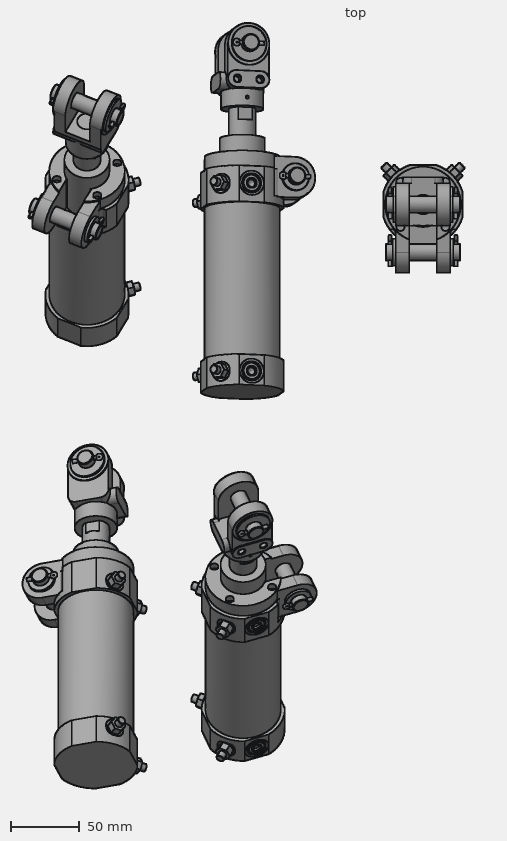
import cadquery as cq

tube_dia = 55.0
cap_dia = 60.6
cap_across_flats = 57.7
base_cap_height = 22.6
head_bottom = 135.5
head_height = 26.7
head_top = head_bottom + head_height
head_step_top = head_top + 11.3
gland_dia = 33.0
gland_top = 187.3

tie_hole_dia = 6.0
tie_hole_depth = 5.5
tie_hole_radius = 23.2

head_slot_back_y = -13.5
head_slot_floor = 139.5

clevis_half_gap = 10.0
clevis_half_width = 20.0
clevis_eye_radius = 15.0
clevis_pin_y = -34.8
clevis_pin_z = 156.8
clevis_boss_dia = 20.0
clevis_boss_face = 22.0
clevis_root_y = head_slot_back_y
clevis_bottom = clevis_pin_z - clevis_eye_radius
relief_y = -18.0
relief_fillet = 2.7

port_recess_dia = 18.0
port_recess_depth = 0.3
plug_seat_dia = 14.3
plug_dia = 12.0
plug_groove_depth = 0.8
plug_mouth_dia = 7.5
plug_mouth_depth = 0.5
plug_socket_dia = 6.0
plug_socket_depth = 2.7
plug_cone_depth = 1.5

screw_seat_dia = 14.3
screw_seat_radius = 29.25
screw_hex_flats = 10.0
screw_hex_corners = screw_hex_flats * 2 / 3**0.5
screw_hex_end = 35.3
screw_stem_dia = 6.0
screw_tip_radius = 40.5
screw_tip_chamfer = 0.3

rod_dia = 20.0
rod_flats = 17.0
rod_flats_bottom = 200.0
rod_thread_dia = 14.3

fork_barrel_dia = 31.0
fork_barrel_bottom = 209.0
fork_floor = 234.2
fork_half_gap = 10.0
fork_half_width = 19.0
fork_eye_radius = 15.5
fork_eye_face = 20.0
fork_boss_dia = 26.0
fork_boss_face = 21.5
fork_pin_z = 269.5 - fork_eye_radius
fork_web_height = 12.5
fork_web_length = fork_barrel_dia
fork_block_bottom = 229.3
fork_web_z = fork_floor - fork_web_height / 2
fork_rear_pad_y = 20.0
fork_rear_pad_length = 29.5
fork_hole_spacing = 17.0
fork_hole_dia = 4.9
fork_hole_mouth_dia = 6.0
fork_hole_depth = 5.5
set_screw_dia = 2.3
set_screw_z = 215.3

pin_dia = 12.0
pin_half_length = 27.2
pin_chamfer = 0.5
cotter_x = 24.0
cotter_shank_dia = 3.0
cotter_wire_dia = 2.3
cotter_ring_radius = 1.5
cotter_ring_y = 10.0
cotter_tail_y = -10.2


def disc(diameter, bottom, top):
    """Vertical cylinder on the main axis."""
    return cq.Workplane("XY", origin=(0, 0, bottom)).circle(diameter / 2).extrude(top - bottom)


def rod_along_x(diameter, half_length, y, z):
    """Cylinder along X, centred on X = 0."""
    return cq.Workplane("YZ", origin=(0, y, z)).circle(diameter / 2).extrude(half_length, both=True)


def block(x_range, y_range, z_range):
    """Box between the given limits."""
    corner = (x_range[0], y_range[0], z_range[0])
    size = (x_range[1] - x_range[0], y_range[1] - y_range[0], z_range[1] - z_range[0])
    return cq.Workplane("XY").box(*size, centered=False).translate(corner)


def end_cap(bottom, height):
    """Round cap with four flats."""
    square = cq.Workplane("XY", origin=(0, 0, bottom)).rect(cap_across_flats, cap_across_flats).extrude(height)
    return disc(cap_dia, bottom, bottom + height).intersect(square)


def cut_plugged_port(body, z):
    """Port on the -X flat, closed by a plug with a stepped, cone-bottomed socket."""
    face = cq.Workplane("YZ", origin=(-cap_across_flats / 2, 0, z))
    recess = face.circle(port_recess_dia / 2).extrude(port_recess_depth)
    groove_depth = port_recess_depth + plug_groove_depth
    groove = face.circle(plug_seat_dia / 2).circle(plug_dia / 2).extrude(groove_depth)
    mouth = face.circle(plug_mouth_dia / 2).extrude(plug_mouth_depth)
    socket = face.circle(plug_socket_dia / 2).extrude(plug_socket_depth)
    cone = cq.Solid.makeCone(
        plug_socket_dia / 2,
        0,
        plug_cone_depth,
        pnt=cq.Vector(-cap_across_flats / 2 + plug_socket_depth, 0, z),
        dir=cq.Vector(1, 0, 0),
    )
    return body.cut(recess).cut(groove).cut(mouth).cut(socket).cut(cone)


def add_cushion_screw(body, side, z):
    """Hexagon screw on a flat seat, pointing out along the rear diagonal on the given X side."""
    across = cq.Vector(1, -side, 0)
    outward = cq.Vector(side, 1, 0).normalized()
    seat_plane = cq.Plane(outward * screw_seat_radius + cq.Vector(0, 0, z), across, outward)
    seat = cq.Workplane(seat_plane)
    seat_cut = seat.circle(screw_seat_dia / 2).extrude(cap_dia / 2 - screw_seat_radius)
    hexagon = seat.polygon(6, screw_hex_corners).extrude(screw_hex_end - screw_seat_radius)
    stem = seat.circle(screw_stem_dia / 2).extrude(screw_tip_radius - screw_seat_radius)
    stem = stem.faces(cq.selectors.DirectionMinMaxSelector(outward)).chamfer(screw_tip_chamfer)
    return body.cut(seat_cut).union(hexagon).union(stem)


def clevis_plates():
    """Two eye plates reaching forward from the head, each with a round boss outside."""
    plate_depth = clevis_root_y - clevis_pin_y
    outline = (
        cq.Workplane("YZ", origin=(-clevis_half_width, clevis_pin_y, clevis_pin_z))
        .moveTo(plate_depth, -clevis_eye_radius)
        .lineTo(0, -clevis_eye_radius)
        .threePointArc((-clevis_eye_radius, 0), (0, clevis_eye_radius))
        .lineTo(plate_depth, clevis_eye_radius)
        .close()
    )
    plates = outline.extrude(2 * clevis_half_width)
    plates = plates.union(rod_along_x(clevis_boss_dia, clevis_boss_face, clevis_pin_y, clevis_pin_z))
    y_range = (clevis_pin_y - clevis_eye_radius, clevis_root_y)
    gap = block((-clevis_half_gap, clevis_half_gap), y_range, (clevis_bottom, head_top + clevis_eye_radius))
    pin_hole = rod_along_x(pin_dia, clevis_boss_face, clevis_pin_y, clevis_pin_z)
    return plates.cut(gap).cut(pin_hole)


def make_head():
    """Head cap with its step, clevis, front slot and tie screw holes."""
    head = end_cap(head_bottom, head_height).union(disc(tube_dia, head_top, head_step_top))
    for side in (-1, 1):
        x_limits = sorted((side * clevis_half_width, side * cap_dia))
        relief = block(x_limits, (-cap_dia, relief_y), (clevis_bottom, head_top))
        inner_corner = cq.selectors.NearestToPointSelector((side * clevis_half_width, relief_y, clevis_pin_z))
        head = head.cut(relief.edges("|Z").edges(inner_corner).fillet(relief_fillet))
    slot_x = (-clevis_half_gap, clevis_half_gap)
    head = head.cut(block(slot_x, (-cap_dia, head_slot_back_y), (head_slot_floor, head_step_top)))
    head = head.union(clevis_plates())
    holes = (
        cq.Workplane("XY", origin=(0, 0, head_step_top))
        .polarArray(tie_hole_radius, 45, 360, 4)
        .circle(tie_hole_dia / 2)
        .extrude(-tie_hole_depth)
    )
    return head.cut(holes).union(disc(gland_dia, head_bottom, gland_top))


def make_rod():
    """Piston rod with two wrench flats and a threaded end flush with the fork floor."""
    flats = block((-rod_flats / 2, rod_flats / 2), (-rod_dia, rod_dia), (rod_flats_bottom, fork_barrel_bottom))
    flatted = disc(rod_dia, rod_flats_bottom, fork_barrel_bottom).intersect(flats)
    plain = disc(rod_dia, head_bottom, rod_flats_bottom)
    return plain.union(flatted).union(disc(rod_thread_dia, fork_barrel_bottom, fork_floor))


def make_cylinder():
    """Cylinder with its caps, gland, rod, ports and cushion screws."""
    port_heights = (10.5, 149.5)
    left_screw_heights = (10.5, 149.5)
    right_screw_heights = (15.0, 143.5)
    body = end_cap(0, base_cap_height)
    body = body.union(disc(tube_dia, base_cap_height, head_bottom))
    body = body.union(make_head()).union(make_rod())
    for z in port_heights:
        body = cut_plugged_port(body, z)
    for z in left_screw_heights:
        body = add_cushion_screw(body, -1, z)
    for z in right_screw_heights:
        body = add_cushion_screw(body, 1, z)
    return body


def fork_mounting_holes():
    """Two blind holes with chamfered mouths in the -X end of the fork web."""
    mouth_chamfer = (fork_hole_mouth_dia - fork_hole_dia) / 2
    web_end = cq.Workplane("YZ", origin=(-fork_eye_face, 0, fork_web_z))
    centres = web_end.pushPoints([(-fork_hole_spacing / 2, 0), (fork_hole_spacing / 2, 0)])
    drilled = centres.circle(fork_hole_dia / 2).extrude(fork_hole_depth)
    for y in (-fork_hole_spacing / 2, fork_hole_spacing / 2):
        mouth = cq.Solid.makeCone(
            fork_hole_mouth_dia / 2,
            fork_hole_dia / 2,
            mouth_chamfer,
            pnt=cq.Vector(-fork_eye_face, y, fork_web_z),
            dir=cq.Vector(1, 0, 0),
        )
        drilled = drilled.union(cq.Workplane(mouth))
    return drilled


def make_fork():
    """Fork with two eyes, a round-ended web, a barrel and side and rear mounting pads."""
    width_range = (-fork_half_width, fork_half_width)
    depth_range = (-fork_eye_radius, fork_eye_radius)
    fork = block(width_range, depth_range, (fork_block_bottom, fork_pin_z))
    fork = fork.union(rod_along_x(2 * fork_eye_radius, fork_eye_face, 0, fork_pin_z))
    fork = fork.union(rod_along_x(fork_boss_dia, fork_boss_face, 0, fork_pin_z))
    web = (
        cq.Workplane("YZ", origin=(-fork_eye_face, 0, fork_web_z))
        .slot2D(fork_web_length, fork_web_height)
        .extrude(fork_eye_face + fork_half_width)
    )
    rear_pad = (
        cq.Workplane("XZ", origin=(0, fork_rear_pad_y, fork_web_z))
        .slot2D(fork_rear_pad_length, fork_web_height)
        .extrude(fork_rear_pad_y)
    )
    barrel = disc(fork_barrel_dia, fork_barrel_bottom, fork_floor)
    gap = block((-fork_half_gap, fork_half_gap), depth_range, (fork_floor, fork_pin_z + fork_eye_radius))
    set_screw_hole = (
        cq.Workplane("YZ", origin=(-fork_barrel_dia / 2, 0, set_screw_z))
        .circle(set_screw_dia / 2)
        .extrude((fork_barrel_dia - rod_thread_dia) / 2)
    )
    fork = fork.union(web).union(rear_pad).union(barrel).cut(gap)
    fork = fork.cut(rod_along_x(pin_dia, fork_boss_face, 0, fork_pin_z))
    fork = fork.cut(disc(rod_thread_dia, fork_barrel_bottom, fork_floor))
    return fork.cut(set_screw_hole).cut(fork_mounting_holes())


def cotter_shank(x, y, z):
    """Straight part of a cotter pin, running along Y through the hinge pin."""
    start = (x, y + cotter_tail_y, z)
    length = cotter_ring_y - cotter_ring_radius - cotter_tail_y
    return cq.Workplane("XZ", origin=start).circle(cotter_shank_dia / 2).extrude(-length)


def make_cotter(x, y, z):
    """Cotter pin: a shank with a wire ring at its +Y end."""
    ring = cq.Solid.makeTorus(
        cotter_ring_radius,
        cotter_wire_dia / 2,
        pnt=cq.Vector(x, y + cotter_ring_y, z),
        dir=cq.Vector(1, 0, 0),
    )
    return cotter_shank(x, y, z).union(cq.Workplane(ring))


def make_hinge_pin(y, z):
    """Pin along X with chamfered ends and a cross hole near each end."""
    pin = rod_along_x(pin_dia, pin_half_length, y, z).faces("<X or >X").chamfer(pin_chamfer)
    for side in (-1, 1):
        pin = pin.cut(cotter_shank(side * cotter_x, y, z))
    return pin


cylinder = make_cylinder()
fork = make_fork()
hinge_pins = []
cotters = []
for hinge_y, hinge_z in ((0, fork_pin_z), (clevis_pin_y, clevis_pin_z)):
    hinge_pins.append(make_hinge_pin(hinge_y, hinge_z).val())
    for side in (-1, 1):
        cotters.append(make_cotter(side * cotter_x, hinge_y, hinge_z).val())

result = cq.Compound.makeCompound([cylinder.val(), fork.val(), *hinge_pins, *cotters])